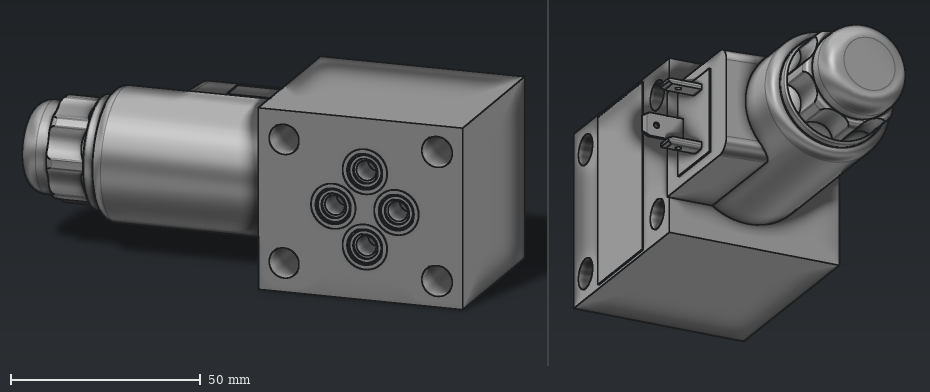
import cadquery as cq
import math


block_length = 57.0
block_side = 50.0
block_back = 23.0
block_front = block_back - block_side

mounting_hole_pairs = [(7.2, 17.0, 8.3), (49.85, 17.75, 8.5)]

port_center_x = 29.75
port_offset_x = 8.8
port_offset_z = 10.35
seal_radius = 6.2
seal_protrusion = 0.2
seal_bore_radius = 4.95
seat_depth = 0.5
seat_radius = 4.4
groove_depth = 1.1
mouth_radius = 3.45
mouth_depth = 0.8
drill_radius = 2.75
drill_depth = 10.0
drill_half_angle = math.radians(45)

plate_start_x = 15.5
plate_length = 26.3
plate_width = 48.0
plate_thickness = 0.35

coil_radius = 18.25
coil_front = -50.2
coil_rounding = 3.1
collar_radius = 15.4
collar_front = -53.1
collar_rounding = 0.5

cap_radius = 12.6
cap_end = -72.3
cap_rounding = 5.1
grip_radius = 14.65
grip_front = -63.9
grip_rounding = 1.7
grip_count = 8
flute_floor_radius = 12.7
flute_half_width = 4.2
flute_edge_radius = 13.9
flute_run_out = 1.5
rib_edge_rounding = 0.5

housing_length = 35.2
housing_width = 30.0
housing_top = 23.65
housing_rounding = 4.0
housing_draft = 5.0
label_start_x = -23.0
label_length = 20.1
label_bottom = 13.9
label_top = 23.0
label_depth = 0.3
gasket_start_x = -25.8
gasket_length = 18.6
gasket_width = 23.8
gasket_top = 24.05

contact_x = -19.05
contact_width = 4.8
contact_inner_z = 7.55
contact_outer_z = 9.45
contact_rounding = 1.1
contact_tip = 33.8
contact_tip_thickness = 0.9
contact_bevel_length = 1.1
contact_hole_y = 29.75
earth_x = -10.05
earth_thickness = 0.8
earth_width = 6.6
earth_tip = 35.97
earth_tip_width = 4.6
earth_tip_thickness = 0.4
earth_taper_length = 1.9
earth_bevel_length = 1.2
earth_hole_y = 31.9
pin_hole_diameter = 1.6


def box(x0, x1, y0, y1, z0, z1):
    return cq.Workplane("XY").box(x1 - x0, y1 - y0, z1 - z0, centered=False).translate((x0, y0, z0))


def cylinder_along_y(x, z, radius, y0, y1):
    return cq.Workplane("XZ", origin=(x, y0, z)).circle(radius).extrude(y0 - y1)


def make_block():
    block = box(0, block_length, block_front, block_back, -block_side / 2, block_side / 2)
    plate = box(
        plate_start_x, plate_start_x + plate_length,
        block_back, block_back + plate_thickness,
        -plate_width / 2, plate_width / 2,
    )
    block = block.union(plate)
    for x, half_spacing, diameter in mounting_hole_pairs:
        for z in (-half_spacing, half_spacing):
            block = block.cut(cylinder_along_y(x, z, diameter / 2, block_front, block_back))
    return block


def make_port_cavity(face_y):
    """The space inside one seal ring: a raised seat with a sloping rim and a stepped hole."""
    seat_y = face_y + seat_depth
    mouth_end = seat_y + mouth_depth
    drill_end = seat_y + drill_depth
    drill_point = drill_end + drill_radius / math.tan(drill_half_angle)
    return (
        cq.Workplane("XY")
        .moveTo(0, face_y)
        .lineTo(seal_bore_radius, face_y)
        .lineTo(seal_bore_radius, face_y + groove_depth)
        .lineTo(seat_radius, seat_y)
        .lineTo(mouth_radius, seat_y)
        .lineTo(mouth_radius, mouth_end)
        .lineTo(drill_radius, mouth_end)
        .lineTo(drill_radius, drill_end)
        .lineTo(0, drill_point)
        .close()
        .revolve(360, (0, 0, 0), (0, 1, 0))
    )


def add_ports(block):
    seal_face = block_front - seal_protrusion
    cavity = make_port_cavity(seal_face)
    for x_step, z_step in ((-1, 0), (1, 0), (0, -1), (0, 1)):
        x = port_center_x + x_step * port_offset_x
        z = z_step * port_offset_z
        block = block.union(cylinder_along_y(x, z, seal_radius, seal_face, block_front))
        block = block.cut(cavity.translate((x, 0, z)))
    return block


def rounded_disc(radius, front, back, rounding):
    """A cylinder along X whose -X edge is rounded."""
    disc = cq.Workplane("YZ", origin=(front, 0, 0)).circle(radius).extrude(back - front)
    return disc.faces("<X").edges().fillet(rounding)


def make_grip():
    """The fluted part of the cap nut; the flutes rise to the full radius at the collar."""
    length = collar_front - grip_front
    rise = flute_edge_radius - flute_floor_radius
    flute_radius = (flute_half_width**2 + rise**2) / (2 * rise)
    flute = (
        cq.Workplane("YZ", origin=(grip_front, flute_floor_radius + flute_radius, 0))
        .circle(flute_radius)
        .extrude(length)
    )
    grip = cq.Workplane("YZ", origin=(grip_front, 0, 0)).circle(grip_radius).extrude(length)
    for i in range(grip_count):
        angle = (i + 0.5) * 360 / grip_count
        grip = grip.cut(flute.rotate((0, 0, 0), (1, 0, 0), angle))
    grip = grip.edges("|X").fillet(rib_edge_rounding)
    grip = grip.intersect(rounded_disc(grip_radius, grip_front, collar_front, grip_rounding))
    run_out_start = collar_front - flute_run_out
    run_out = (
        cq.Workplane("XY")
        .moveTo(run_out_start, 0)
        .lineTo(run_out_start, flute_floor_radius)
        .lineTo(collar_front, grip_radius)
        .lineTo(collar_front, 0)
        .close()
        .revolve(360, (0, 0, 0), (1, 0, 0))
    )
    return grip.union(run_out)


def make_coil():
    coil = rounded_disc(coil_radius, coil_front, 0, coil_rounding)
    collar = rounded_disc(collar_radius, collar_front, coil_front, collar_rounding)
    cap = rounded_disc(cap_radius, cap_end, collar_front, cap_rounding)
    return coil.union(collar).union(cap).union(make_grip())


def make_housing():
    lean = housing_top * math.tan(math.radians(housing_draft))
    housing = (
        cq.Workplane("XY")
        .polyline([
            (0, 0),
            (0, housing_top),
            (-housing_length, housing_top),
            (-housing_length - lean, 0),
        ])
        .close()
        .extrude(housing_width / 2, both=True)
    )
    return housing.faces("<X").edges("not |Z").fillet(housing_rounding)


def make_label_recess():
    face_z = housing_width / 2
    return box(
        label_start_x, label_start_x + label_length,
        label_bottom, label_top,
        face_z - label_depth, face_z,
    )


def make_gasket():
    return box(
        gasket_start_x, gasket_start_x + gasket_length,
        housing_top, gasket_top,
        -gasket_width / 2, gasket_width / 2,
    )


def make_contact():
    """The +Z contact: a flat bar with rounded outer edges and a bevelled tip."""
    contact = box(
        contact_x - contact_width / 2, contact_x + contact_width / 2,
        housing_top, contact_tip,
        contact_inner_z, contact_outer_z,
    )
    contact = contact.faces(">Z").edges("|Y").fillet(contact_rounding)
    middle_z = (contact_inner_z + contact_outer_z) / 2
    half_thickness = (contact_outer_z - contact_inner_z) / 2
    bevel_start = contact_tip - contact_bevel_length
    bevelled_side = (
        cq.Workplane("YZ", origin=(contact_x, 0, middle_z))
        .polyline([
            (housing_top, -half_thickness),
            (bevel_start, -half_thickness),
            (contact_tip, -contact_tip_thickness / 2),
            (contact_tip, contact_tip_thickness / 2),
            (bevel_start, half_thickness),
            (housing_top, half_thickness),
        ])
        .close()
        .extrude(contact_width / 2, both=True)
    )
    hole = (
        cq.Workplane("XY", origin=(contact_x, contact_hole_y, contact_inner_z))
        .circle(pin_hole_diameter / 2)
        .extrude(contact_outer_z - contact_inner_z)
    )
    return contact.intersect(bevelled_side).cut(hole)


def make_earth_pin():
    """The wide blade on the coil's mid plane, narrowed and bevelled at its tip."""
    taper_start = earth_tip - earth_taper_length
    blade = (
        cq.Workplane("YZ", origin=(earth_x, 0, 0))
        .polyline([
            (housing_top, -earth_width / 2),
            (taper_start, -earth_width / 2),
            (earth_tip, -earth_tip_width / 2),
            (earth_tip, earth_tip_width / 2),
            (taper_start, earth_width / 2),
            (housing_top, earth_width / 2),
        ])
        .close()
        .extrude(earth_thickness / 2, both=True)
    )
    bevel_start = earth_tip - earth_bevel_length
    bevelled_side = (
        cq.Workplane("XY", origin=(earth_x, 0, 0))
        .polyline([
            (-earth_thickness / 2, housing_top),
            (-earth_thickness / 2, bevel_start),
            (-earth_tip_thickness / 2, earth_tip),
            (earth_tip_thickness / 2, earth_tip),
            (earth_thickness / 2, bevel_start),
            (earth_thickness / 2, housing_top),
        ])
        .close()
        .extrude(earth_width / 2, both=True)
    )
    hole = (
        cq.Workplane("YZ", origin=(earth_x, earth_hole_y, 0))
        .circle(pin_hole_diameter / 2)
        .extrude(earth_thickness / 2, both=True)
    )
    return blade.intersect(bevelled_side).cut(hole)


def make_plug():
    contact = make_contact()
    return (
        make_gasket()
        .union(contact)
        .union(contact.mirror("XY"))
        .union(make_earth_pin())
    )


body = add_ports(make_block()).union(make_coil())
body = body.union(make_housing()).cut(make_label_recess())
result = body.union(make_plug())